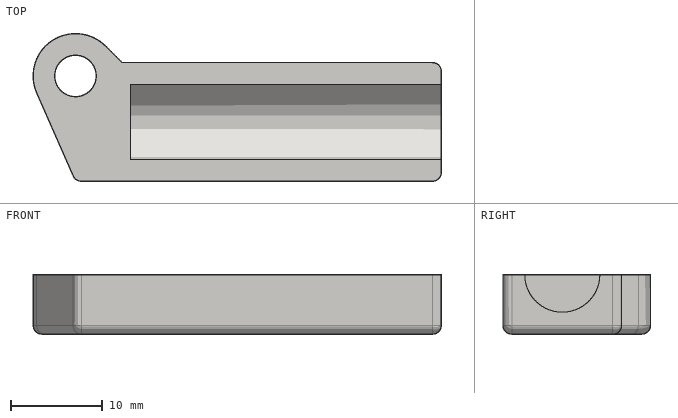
import cadquery as cq
import math

length = 44.65
body_width = 13.0
height = 6.5

eye_radius = 4.65
hole_diameter = 4.5
eye_x = eye_radius
eye_y = 11.5
shoulder_angle = math.radians(45)

trough_diameter = 8.2
trough_start = 10.65

edge_radius = 1.0


def eye_point(angle):
    """Point on the rim of the eye at an angle from +X."""
    return (eye_x + eye_radius * math.cos(angle), eye_y + eye_radius * math.sin(angle))


def make_body():
    slant_angle = 1.5 * math.pi - math.acos(eye_radius / eye_y)
    shoulder_run = (eye_radius - (body_width - eye_y) * math.sin(shoulder_angle)) / math.cos(shoulder_angle)
    arc_middle = (slant_angle + shoulder_angle) / 2

    body = (
        cq.Workplane("XY")
        .moveTo(eye_x, 0)
        .lineTo(length, 0)
        .lineTo(length, body_width)
        .lineTo(eye_x + shoulder_run, body_width)
        .lineTo(*eye_point(shoulder_angle))
        .threePointArc(eye_point(arc_middle), eye_point(slant_angle))
        .close()
        .extrude(height)
    )
    body = body.edges("|Z and (<Y or >X)").fillet(edge_radius)
    return body.faces("<Z").edges().fillet(edge_radius)


def make_hole():
    return cq.Workplane("XY").center(eye_x, eye_y).circle(hole_diameter / 2).extrude(height)


def make_trough():
    return (
        cq.Workplane("YZ", origin=(trough_start, body_width / 2, height))
        .circle(trough_diameter / 2)
        .extrude(length - trough_start)
    )


result = make_body().cut(make_hole()).cut(make_trough())